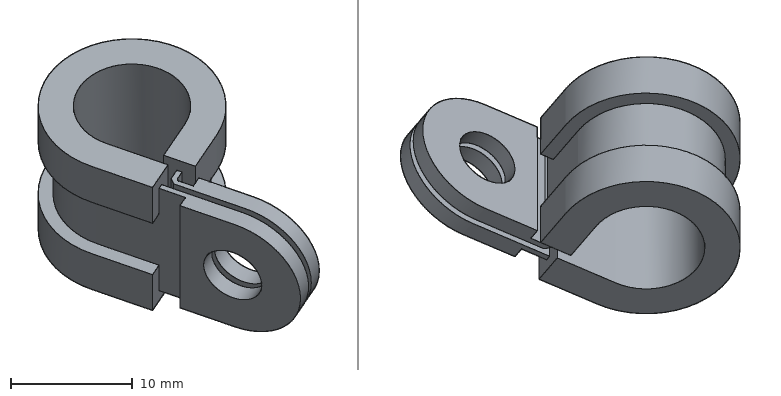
import cadquery as cq

cushion_diameter = 15.4
cushion_outer_radius = cushion_diameter / 2
cushion_inner_radius = 4.8
cushion_height = 14.4
upper_leg_length = 3.98
lower_leg_length = 5.6
groove_width = 6.0

band_inner_radius = 6.0
band_outer_radius = 6.5
band_thickness = band_outer_radius - band_inner_radius
band_width = 11.95
bend_inner_chamfer = 0.15
bend_outer_chamfer = 0.45
ear_gap = 0.5
ear_thickness = 1.52
ear_start = 8
overall_length = 26.7
ear_end = overall_length - cushion_outer_radius
ear_radius = band_width / 2
hole_diameter = 5.29
hole_x = 12.82

lower_ear_top = -band_inner_radius
upper_ear_bottom = lower_ear_top + ear_gap


def box(x_min, x_max, y_min, y_max, height):
    """Box between the given X and Y limits, centred on Z = 0."""
    return (
        cq.Workplane("XY")
        .box(x_max - x_min, y_max - y_min, height, centered=(False, False, True))
        .translate((x_min, y_min, 0))
    )


def clamp_loop(inner_radius, outer_radius, upper_leg, lower_leg, height):
    """Three-quarter ring with a straight leg at each end."""
    ring = (
        cq.Workplane("XY", origin=(0, 0, -height / 2))
        .circle(outer_radius)
        .circle(inner_radius)
        .extrude(height)
    )
    open_quarter = box(0, outer_radius, -outer_radius, 0, height)
    upper = box(inner_radius, outer_radius, -upper_leg, 0, height)
    lower = box(0, lower_leg, -outer_radius, -inner_radius, height)
    return ring.cut(open_quarter).union(upper).union(lower)


def make_cushion():
    """Cushion with a central groove cut down to the band's outer face."""
    body = clamp_loop(
        cushion_inner_radius, cushion_outer_radius, upper_leg_length, lower_leg_length, cushion_height
    )
    groove = clamp_loop(
        band_outer_radius, cushion_outer_radius, upper_leg_length, lower_leg_length, groove_width
    )
    return body.cut(groove)


def make_band():
    """Strip buried in the cushion, with the upper end bent outward to its ear."""
    strip = clamp_loop(band_inner_radius, band_outer_radius, -upper_ear_bottom, ear_start, band_width)
    foot_top = upper_ear_bottom + band_thickness
    foot = box(band_inner_radius, ear_start, upper_ear_bottom, foot_top, band_width)
    return (
        strip.union(foot)
        .edges(cq.selectors.NearestToPointSelector((band_inner_radius, upper_ear_bottom, 0)))
        .chamfer(bend_outer_chamfer)
        .edges(cq.selectors.NearestToPointSelector((band_outer_radius, foot_top, 0)))
        .chamfer(bend_inner_chamfer)
    )


def make_ear(y_min):
    """Thick ear with a semicircular end and a screw hole."""
    arc_x = ear_end - ear_radius
    return (
        cq.Workplane("XZ", origin=(0, y_min, 0))
        .moveTo(ear_start, -ear_radius)
        .lineTo(arc_x, -ear_radius)
        .threePointArc((ear_end, 0), (arc_x, ear_radius))
        .lineTo(ear_start, ear_radius)
        .close()
        .moveTo(hole_x, 0)
        .circle(hole_diameter / 2)
        .extrude(-ear_thickness)
    )


result = make_cushion().union(make_band())
for ear_bottom in (upper_ear_bottom, lower_ear_top - ear_thickness):
    result = result.union(make_ear(ear_bottom))
result = result.clean()